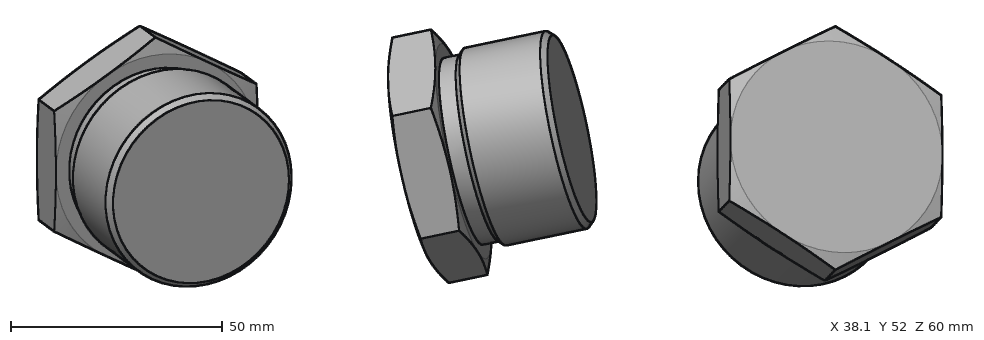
import cadquery as cq
import math


across_corners = 60.05
across_flats = across_corners * math.cos(math.radians(30))
head_thickness = 11.6
head_chamfer_angle = 15.0

total_length = 38.1
thread_diameter = 47.85
neck_diameter = 45.2
neck_length = 4.1
neck_shoulder_depth = (thread_diameter - neck_diameter) / 2
tip_length = 1.45


def revolve_about_x(profile):
    """Turn a closed (X, radius) profile into a solid of revolution about X."""
    outline = cq.Workplane("XY").polyline(profile).close()
    return outline.revolve(360, (0, 0, 0), (1, 0, 0))


def make_head():
    """Hexagonal prism with corners up and down, bevelled on both faces."""
    corner_radius = across_corners / 2
    face_radius = across_flats / 2
    bevel_depth = (corner_radius - face_radius) * math.tan(math.radians(head_chamfer_angle))

    hexagon = (
        cq.Workplane("YZ")
        .transformed(rotate=(0, 0, 90))
        .polygon(6, across_corners)
        .extrude(head_thickness)
    )
    bevel_envelope = revolve_about_x([
        (0, 0),
        (0, face_radius),
        (bevel_depth, corner_radius),
        (head_thickness - bevel_depth, corner_radius),
        (head_thickness, face_radius),
        (head_thickness, 0),
    ])
    return hexagon.intersect(bevel_envelope)


def make_shank():
    """Relief neck, conical shoulder and plain thread cylinder with a chamfered tip."""
    neck_radius = neck_diameter / 2
    thread_radius = thread_diameter / 2
    neck_end = head_thickness + neck_length
    return revolve_about_x([
        (head_thickness, 0),
        (head_thickness, neck_radius),
        (neck_end, neck_radius),
        (neck_end + neck_shoulder_depth, thread_radius),
        (total_length - tip_length, thread_radius),
        (total_length, neck_radius),
        (total_length, 0),
    ])


result = make_head().union(make_shank())